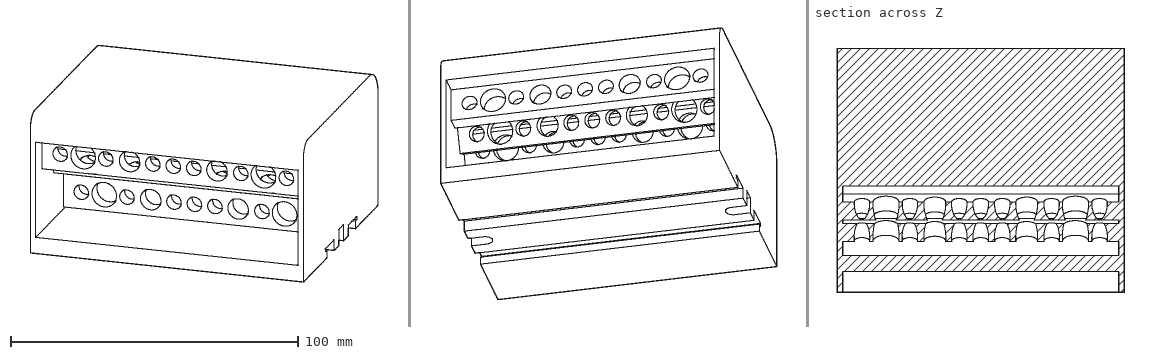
import cadquery as cq

LENGTH = 100.0
DEPTH = 85.0
HEIGHT = 51.1
FRONT_TOP_RADIUS = 5.1
BACK_TOP_RADIUS = 10.0

SIDE_WALL = 2.0
CAVITY_FLOOR = 6.0
CAVITY_CEILING = 41.1
CAVITY_DEPTH = 37.0
CAVITY_WIDTH = LENGTH - 2 * SIDE_WALL

BAR_HEIGHT = 12.2
BAR_THICKNESS = 5.7
BAR_TILT = 26.0
UPPER_BAR = (10.1, CAVITY_CEILING - BAR_HEIGHT / 2, 0.0)
FRONT_TILTED_BAR = (20.5, 29.7, BAR_TILT)
BACK_TILTED_BAR = (29.0, 27.7, BAR_TILT)
LOWER_BAR = (CAVITY_DEPTH - BAR_THICKNESS / 2, 12.9, 0.0)
BARS = (UPPER_BAR, FRONT_TILTED_BAR, BACK_TILTED_BAR, LOWER_BAR)

SMALL_HOLE = 5.3
MEDIUM_HOLE = 7.5
LARGE_HOLE = 9.0
HOLE_OFFSETS = {
    SMALL_HOLE: (0.0, 7.5, 24.7, 41.4),
    MEDIUM_HOLE: (16.0,),
    LARGE_HOLE: (33.0,),
}

RAIL_CENTRE_Y = 43.0
TONGUE_WIDTH = 16.2
RAIL_OPENING = 32.0
RAIL_WIDTH = 35.3
SLOT_HEIGHT = 4.0
LIP_HEIGHT = 2.8

NOTCH_WIDTH = 5.3
NOTCH_DEPTH = 8.2
NOTCH_HEIGHT = 6.0


def make_housing():
    block = cq.Workplane("XY").box(LENGTH, DEPTH, HEIGHT, centered=(True, False, False))
    block = block.edges("|X and >Z and <Y").fillet(FRONT_TOP_RADIUS)
    block = block.edges("|X and >Z and >Y").fillet(BACK_TOP_RADIUS)
    cavity = (
        cq.Workplane("XY")
        .box(CAVITY_WIDTH, CAVITY_DEPTH, CAVITY_CEILING - CAVITY_FLOOR, centered=(True, False, False))
        .translate((0, 0, CAVITY_FLOOR))
    )
    return block.cut(cavity)


def make_bar(centre_y, centre_z, tilt):
    bar = cq.Workplane("XY").box(CAVITY_WIDTH, BAR_THICKNESS, BAR_HEIGHT)
    for diameter, offsets in HOLE_OFFSETS.items():
        positions = {(side * offset, 0) for offset in offsets for side in (-1, 1)}
        holes = (
            cq.Workplane("XZ", origin=(0, BAR_THICKNESS / 2, 0))
            .pushPoints(sorted(positions))
            .circle(diameter / 2)
            .extrude(BAR_THICKNESS)
        )
        bar = bar.cut(holes)
    return bar.rotate((0, 0, 0), (1, 0, 0), tilt).translate((0, centre_y, centre_z))


def make_rail_slot(side):
    """Slot on one side of the tongue; side is -1 towards the front, 1 towards the back."""
    tongue_face = RAIL_CENTRE_Y + side * TONGUE_WIDTH / 2
    lip_face = RAIL_CENTRE_Y + side * RAIL_OPENING / 2
    undercut_face = RAIL_CENTRE_Y + side * RAIL_WIDTH / 2
    return (
        cq.Workplane("YZ")
        .moveTo(tongue_face, 0)
        .lineTo(lip_face, 0)
        .lineTo(lip_face, LIP_HEIGHT)
        .lineTo(undercut_face, LIP_HEIGHT)
        .lineTo(undercut_face, SLOT_HEIGHT)
        .lineTo(tongue_face, SLOT_HEIGHT)
        .close()
        .extrude(LENGTH / 2, both=True)
    )


def make_notches():
    return (
        cq.Workplane("XY")
        .pushPoints([(side * LENGTH / 2, RAIL_CENTRE_Y) for side in (-1, 1)])
        .slot2D(2 * NOTCH_DEPTH, NOTCH_WIDTH)
        .extrude(NOTCH_HEIGHT)
    )


result = make_housing()
for bar_placement in BARS:
    result = result.union(make_bar(*bar_placement))
for slot_side in (-1, 1):
    result = result.cut(make_rail_slot(slot_side))
result = result.cut(make_notches())